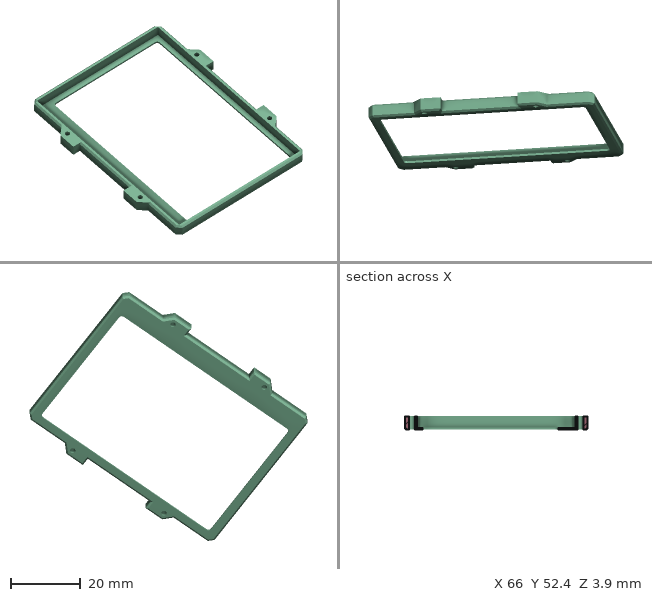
import cadquery as cq

length = 65.95
width = 47.6
height = 3.9
corner_cut = 1.4
edge_chamfer = 0.5

wall = 1.2
floor_thickness = 0.6
window_length = 60.15
window_top = 21.1
window_bottom = -17.8
window_radius = 1.0

overall_width = 52.4
tab_inner_x = 11.2
tab_outer_x = 17.1
tab_root_x = 19.9
tab_hole_diameter = 1.5
tab_hole_x = 16.3
tab_hole_y = 24.2


def make_body():
    """Rectangular block with cut corners and a bevelled top rim."""
    block = cq.Workplane("XY").box(length, width, height, centered=(True, True, False))
    block = block.edges("|Z").chamfer(corner_cut)
    return block.faces(">Z").edges().chamfer(edge_chamfer)


def make_tab(side_x, side_y):
    """Full-height tab with a slanted outer flank, rooted inside the wall."""
    root_y = width / 2 - edge_chamfer
    tip_y = overall_width / 2
    outline = [
        (tab_inner_x, root_y),
        (tab_inner_x, tip_y),
        (tab_outer_x, tip_y),
        (tab_root_x, root_y),
    ]
    points = [(side_x * x, side_y * y) for x, y in outline]
    return cq.Workplane("XY").polyline(points).close().extrude(height)


def make_recess():
    """Sharp-cornered pocket open at the top."""
    return (
        cq.Workplane("XY", origin=(0, 0, floor_thickness))
        .rect(length - 2 * wall, width - 2 * wall)
        .extrude(height)
    )


def make_window():
    """Rounded opening through the floor, offset towards +Y."""
    window_center_y = (window_top + window_bottom) / 2
    return (
        cq.Workplane("XY", origin=(0, window_center_y, 0))
        .rect(window_length, window_top - window_bottom)
        .extrude(height)
        .edges("|Z")
        .fillet(window_radius)
    )


def make_tab_holes():
    """Four through holes, one in each tab."""
    return (
        cq.Workplane("XY")
        .rect(2 * tab_hole_x, 2 * tab_hole_y, forConstruction=True)
        .vertices()
        .circle(tab_hole_diameter / 2)
        .extrude(height)
    )


result = make_body()
for side_x in (-1, 1):
    for side_y in (-1, 1):
        result = result.union(make_tab(side_x, side_y))

result = result.faces("<Z").edges().chamfer(edge_chamfer)

result = result.cut(make_recess()).cut(make_window()).cut(make_tab_holes())